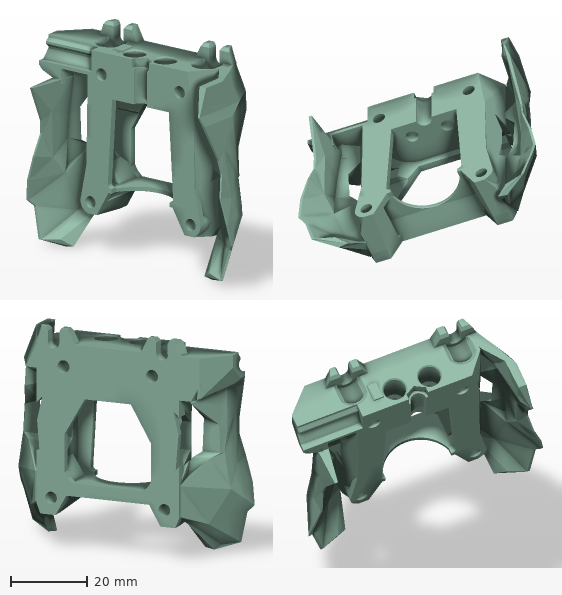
import cadquery as cq
import math


front_y = -14.65
deck_z = 55.6
plate_thickness = 1.9
foot_z = 8.95
wall_x = 20.5
wall_bend_y = -8.2
leg_x = 17.25
window_top_z = 43.25
window_floor_z = 18.4
window_corner_r = 1.0
bar_top_z = 18.0
bar_back_z = 14.5
crotch_x, crotch_z = 10.4, 17.1
leg_toe_x = 15.05
leg_side_x = 19.35
bevel_z = 42.6
cavity_x = 14.1
cavity_corner = 8.4
screw_d = 3.4
screw_x, screw_z = 12.7, 49.45
ankle_d = 3.3
ankle_x, ankle_z, ankle_r = 16.25, 13.5, 3.2
bolt_x, bolt_y = 5.0, -10.35
bolt_bore_d = 6.0
bolt_bore_depth = 8.05
bolt_chamfer = 0.35
hook_x = 15.6
hook_y = -3.1
hook_top_z = 59.7
hook_slot_d = 3.3
trough_d = 5.8
trough_end_y = -8.1
trough_rim = 0.95
block_x = -32.9
rail_inner_x = -15.9
block_floor_z = 48.55
shoulder_z = 43.2
reach = 80.6


def prism_y(points, y_near, y_far):
    """Extrude an (x, z) outline from y_near forward to y_far."""
    outline = cq.Workplane("XZ", origin=(0, y_near, 0)).polyline(points).close()
    return outline.extrude(y_near - y_far)


def prism_z(points, z_low, z_high):
    """Extrude an (x, y) outline upward."""
    return cq.Workplane("XY", origin=(0, 0, z_low)).polyline(points).close().extrude(z_high - z_low)


def prism_x(points, x_low, x_high):
    """Extrude a (y, z) outline toward +X."""
    return cq.Workplane("YZ", origin=(x_low, 0, 0)).polyline(points).close().extrude(x_high - x_low)


def cylinder_y(diameter, x, z, y_near, y_far):
    circle = cq.Workplane("XZ", origin=(x, y_near, z)).circle(diameter / 2)
    return circle.extrude(y_near - y_far)


def mirrored(points):
    """Complete a half outline with its reflection across X = 0."""
    return points + [(-x, other) for x, other in reversed(points)]


def both_sides(shape):
    return shape.union(shape.mirror("YZ"))


def polyhedron(triangles):
    faces = []
    for corners in triangles:
        wire = cq.Wire.makePolygon([cq.Vector(*corner) for corner in corners], close=True)
        faces.append(cq.Face.makeFromWires(wire))
    return cq.Workplane(obj=cq.Solid.makeSolid(cq.Shell.makeShell(faces)))


def body():
    plan = mirrored([(wall_x, 0), (wall_x, wall_bend_y), (leg_x, front_y)])
    side = [(0, foot_z), (0, deck_z), (front_y, deck_z), (front_y, ankle_z - ankle_r), (-3.2, foot_z)]
    block = prism_z(plan, 0, deck_z).intersect(prism_x(side, -reach, reach))
    feet_trim = mirrored([(leg_side_x, 0), (leg_side_x, foot_z), (wall_x + 0.7, 13.45), (wall_x + 0.7, deck_z)])
    block = block.intersect(prism_y(feet_trim, 0, front_y))
    plate = mirrored([(leg_x, deck_z), (leg_x, bevel_z), (17.6, 23.5), (leg_side_x, 14.45), (ankle_x, ankle_z)])
    block = block.union(prism_y(plate, front_y + plate_thickness, front_y))
    ankle = cylinder_y(2 * ankle_r, ankle_x, ankle_z, 0, front_y)
    block = block.union(both_sides(ankle))
    under_legs = mirrored([(leg_side_x + 0.7, 0), (leg_side_x + 0.7, foot_z), (leg_toe_x, foot_z),
                           (crotch_x, crotch_z)])
    return block.cut(prism_y(under_legs, 0, front_y))


def bottom_bar():
    """Sloping cross bar between the legs, hollowed forward in a plan arc."""
    bar_front_y = -13.45
    profile = [(0, bar_back_z), (0, bar_top_z), (bar_front_y, bar_top_z), (bar_front_y, crotch_z), (-6.05, 16.8)]
    bar = prism_x(profile, -cavity_x, cavity_x)
    gusset_x = cavity_x + 0.35
    gusset = prism_y([(crotch_x, 17.45), (gusset_x, 24.2), (gusset_x, 17.45)], 0, -9.3)
    return bar.union(both_sides(gusset))


def bar_arc():
    """Forward-facing hollow that leaves the cross bar arched in plan."""
    arc_x = 9.4
    arc_end_y = -12.75
    arc_middle_y = -6.05
    arc_low_z = 13.45
    clear_y = front_y - 0.7
    arc = cq.Workplane("XY", origin=(0, 0, arc_low_z)).moveTo(-arc_x, clear_y).lineTo(-arc_x, arc_end_y)
    arc = arc.threePointArc((0, arc_middle_y), (arc_x, arc_end_y)).lineTo(arc_x, clear_y).close()
    return arc.extrude(window_floor_z + 0.7 - arc_low_z)


def window():
    """Tapered front window, the hollow behind it and the wider opening in the back."""
    hollow_floor_z = 14.1
    hollow_y = front_y + plate_thickness
    opening = mirrored([(9.2, window_top_z), (10.7, window_floor_z)])
    front = prism_y(opening, hollow_y, front_y).edges("|Y and <Z").fillet(window_corner_r)
    rear = mirrored([(6.6, 41.2), (12.4, 31.1), (12.4, 20.15), (10.1, bar_top_z)])
    cavity_plan = [(-cavity_x, hollow_y), (cavity_x, hollow_y), (cavity_x, -plate_thickness),
                   (-cavity_x, -plate_thickness)]
    cavity = prism_z(cavity_plan, hollow_floor_z, window_top_z).edges("|Z and >Y").fillet(cavity_corner)
    lower = prism_y(mirrored([(cavity_x, 35.6), (cavity_x, hollow_floor_z)]), -plate_thickness, hollow_y)
    return front.union(cavity).union(lower).union(prism_y(rear, 0, hollow_y))


def side_openings():
    """Openings across the body between the front legs and the back frame."""
    outline = [(-1.9, 35.8), (-2.4, 36.4), (-3.9, 36.95), (-3.9, 40.3), (-9.3, 35.7), (-9.3, 28.0),
               (-7.6, 26.9), (-1.9, 21.7)]
    return prism_x(outline, -wall_x - 0.7, wall_x + 0.7)


def back_slots():
    """Openings through the back beside each leg."""
    outline = [(18.8, 40.65), (22.15, 37.3), (24.2, 36.95), (24.2, 26.9), (21.0, 26.6), (19.5, 24.6), (20.3, 34.25)]
    return both_sides(prism_y(outline, 0, front_y))


def right_wall_bevel():
    """Cut leaning the right side of the front plate inward toward the deck."""
    deck_edge_x = 15.3
    clear_x = wall_x + 0.1

    def section(x_front, z):
        return [(x_front, front_y, z), (clear_x, wall_bend_y, z), (clear_x, front_y, z)]

    low = section(leg_x, bevel_z)
    high = section(deck_edge_x, deck_z)
    sides = []
    for i in range(3):
        j = (i + 1) % 3
        sides += [(low[i], low[j], high[j]), (low[i], high[j], high[i])]
    return polyhedron([low, high] + sides)


def rail_block():
    plan = [(-13.45, 0), (-26.3, 0), (block_x, -6.85), (block_x, front_y), (-13.45, front_y)]
    front = [(-13.45, deck_z), (block_x, deck_z), (block_x, 48.2), (-31.9, 47.1), (-25.5, 44.25),
             (-26.0, block_floor_z), (-13.45, block_floor_z)]
    block = prism_z(plan, shoulder_z, deck_z).intersect(prism_y(front, 0, front_y))
    backing_z = shoulder_z + 0.5
    backing_top = [(-19.5, 0), (-26.5, 0), (-29.2, -8.7), (-24.85, -10.75), (-20.15, wall_bend_y)]
    backing_bottom = [(-19.5, 0), (-23.85, 0), (-26.9, -8.7), (-24.85, -10.1), (-20.15, wall_bend_y)]
    backing = cq.Workplane("XY", origin=(0, 0, backing_z)).polyline(backing_bottom).close()
    backing = backing.workplane(offset=block_floor_z - backing_z).polyline(backing_top).close()
    backing = backing.loft(ruled=True)
    corner = cq.Plane(origin=(block_x, -6.9, 52.1), xDir=(0, -6.4, -5.4), normal=(-6.7, 2.7, -3.3))
    block = block.cut(cq.Workplane(corner).rect(reach, reach).extrude(13.45))
    return block.union(backing)


def rail_cut():
    rail_foot_z = 49.5
    profile = [(-10.55, deck_z), (-10.6, 54.9), (-11.6, 54.0), (-11.6, 53.3), (-10.6, 52.4), (-10.6, 51.8),
               (-12.8, rail_foot_z), (front_y, rail_foot_z), (front_y, deck_z)]
    return prism_x(profile, block_x, rail_inner_x)


wing_nodes = {
    "shoulder back": ((23.85, 0, shoulder_z), (19.5, -8.05, shoulder_z)),
    "shoulder": ((28.6, -12.55, 45.55), (25.0, -10.1, 45.55)),
    "blade tip": ((28.4, -25.0, 45.55), (27.55, -25.0, 45.55)),
    "gap top": ((27.9, -9.3, 35.7), (23.5, -9.3, 37.1)),
    "gap bottom": ((28.2, -9.3, 28.0), (23.1, -9.3, 28.0)),
    "gap foot": ((26.2, -7.6, 26.9), (21.0, -7.6, 26.6)),
    "back high": ((20.8, 0, 20.4), (18.15, -5.4, 20.4)),
    "back low": ((20.8, 0, 12.1), (18.15, -4.7, 13.45)),
    "heel": ((19.95, -3.75, 10.4), (19.35, -7.4, 8.9)),
    "keel": ((25.5, -7.85, 8.8), (23.7, -10.1, 8.7)),
    "keel end": ((25.5, -16.3, 1.35), (24.2, -17.1, 2.35)),
    "toe": ((23.85, -15.3, 0), (21.2, -15.3, 0.5)),
    "toe front": ((29.95, -19.0, 1.8), (29.15, -19.0, 1.8)),
    "notch": ((32.1, -18.1, 10.4), (31.45, -18.1, 10.4)),
    "elbow": ((33.6, -19.5, 12.15), (32.9, -19.5, 12.15)),
    "flap low": ((32.65, -20.4, 18.1), (32.0, -20.4, 18.1)),
    "flap high": ((30.55, -20.7, 25.05), (30.1, -20.7, 25.05)),
    "waist": ((29.55, -18.8, 31.2), (29.0, -18.8, 31.2)),
    "waist high": ((29.15, -19.5, 35.0), (28.5, -19.5, 35.0)),
    "crest": ((29.15, -17.25, 37.2), (26.9, -17.25, 37.2)),
    "flap root": ((30.2, -15.45, 23.9), (27.8, -15.45, 23.9)),
    "dimple": ((29.15, -11.95, 34.2), (26.3, -10.1, 34.9)),
    "dimple low": ((28.9, -10.55, 28.0), (26.9, -10.1, 28.0)),
    "hip high": ((29.9, -10.5, 20.6), (26.9, -10.1, 20.8)),
    "hip": ((30.55, -11.1, 18.1), (26.3, -12.1, 18.95)),
}
wing_facets = [
    ("shoulder back", "shoulder", "gap top"), ("shoulder", "dimple", "gap top"),
    ("shoulder", "crest", "dimple"), ("shoulder", "blade tip", "crest"),
    ("blade tip", "waist high", "crest"), ("dimple", "gap bottom", "gap top"),
    ("dimple", "dimple low", "gap bottom"), ("dimple", "crest", "dimple low"),
    ("crest", "flap root", "dimple low"), ("crest", "waist high", "waist"),
    ("crest", "waist", "flap root"), ("waist", "flap high", "flap root"),
    ("flap high", "flap low", "flap root"), ("flap root", "flap low", "hip"),
    ("dimple low", "flap root", "hip"), ("dimple low", "hip", "hip high"),
    ("gap bottom", "dimple low", "gap foot"), ("gap foot", "dimple low", "hip high"),
    ("gap foot", "hip high", "hip"), ("back high", "gap foot", "hip"),
    ("back high", "hip", "keel"), ("back high", "keel", "back low"),
    ("hip", "flap low", "elbow"), ("hip", "elbow", "notch"), ("hip", "notch", "keel"),
    ("keel", "notch", "toe front"), ("keel", "toe front", "keel end"),
    ("back low", "keel", "heel"), ("heel", "keel", "keel end"),
    ("heel", "keel end", "toe"), ("keel end", "toe front", "toe"),
]
upper_nodes = {
    "deck back": ((20.15, 0, deck_z), (17.45, 0, deck_z)),
    "deck bend": ((24.2, wall_bend_y, deck_z), (20.8, wall_bend_y, deck_z)),
    "deck front": ((27.55, -15.9, deck_z), (25.0, -14.1, deck_z)),
    "blade top": ((27.35, -22.85, deck_z), (25.1, -22.85, deck_z)),
    "side back": ((23.5, 0, 48.35), (18.8, 0, 48.35)),
    "side": ((28.0, -8.95, 48.35), (23.65, -9.75, 48.35)),
    "blade step": ((27.55, -21.95, 50.6), (25.2, -21.95, 50.6)),
    "blade root": ((27.7, -23.1, 48.4), (25.3, -23.1, 48.4)),
    "blade point": ((27.7, -26.25, 48.2), (27.2, -26.25, 48.2)),
}
upper_facets = [
    ("deck back", "deck bend", "side back"), ("deck bend", "side", "side back"),
    ("deck bend", "deck front", "side"), ("deck front", "blade top", "blade step"),
    ("deck front", "blade step", "side"), ("blade step", "blade root", "side"),
    ("blade top", "blade point", "blade step"), ("blade step", "blade point", "blade root"),
    ("blade root", "blade point", "blade tip"), ("blade root", "blade tip", "shoulder"),
    ("side", "blade root", "shoulder"), ("side back", "side", "shoulder"),
    ("side back", "shoulder", "shoulder back"),
]


def wing(nodes, facets, side):
    """Close the outer and inner facets into a shell; side is -1 left, +1 right."""
    outer = {name: (side * x, y, z) for name, ((x, y, z), _) in nodes.items()}
    inner = {name: (side * x, y, z) for name, (_, (x, y, z)) in nodes.items()}
    triangles = []
    edge_uses = {}
    for facet in facets:
        triangles.append([outer[name] for name in facet])
        triangles.append([inner[name] for name in facet])
        for i in range(3):
            edge = tuple(sorted((facet[i], facet[i - 1]), reverse=True))
            edge_uses[edge] = edge_uses.get(edge, 0) + 1
    for (a, b), uses in edge_uses.items():
        if uses == 1:
            triangles.append([outer[a], outer[b], inner[b]])
            triangles.append([outer[a], inner[b], inner[a]])
    return polyhedron(triangles)


def hook_tabs():
    """Paired tabs standing on the deck; the outer flanks lean inward toward the back."""
    flank_lean = 1.3
    bevel = 0.8
    base_z = deck_z - 1.35
    tip_z = 58.7

    def outer_tab(lean):
        return [(17.2, base_z), (21.6 - lean, base_z), (21.6 - lean, deck_z), (20.55 - lean, tip_z),
                (20.3 - lean, hook_top_z), (17.7, hook_top_z), (17.2, tip_z)]

    inner_tab = [(13.9, base_z), (9.5, base_z), (9.5, deck_z), (11.1, tip_z), (11.55, hook_top_z),
                 (13.4, hook_top_z), (13.9, tip_z)]
    leaning = cq.Workplane("XZ").polyline(outer_tab(flank_lean)).close()
    leaning = leaning.workplane(offset=-hook_y).polyline(outer_tab(0)).close().loft(ruled=True)
    tabs = leaning.union(prism_y(inner_tab, 0, hook_y))
    return both_sides(tabs.edges("|X and >Z and <Y").chamfer(bevel))


def hook_trough():
    """Round slot between the tabs, widening into a bevelled trough with a domed end."""
    slot = cylinder_y(hook_slot_d, hook_x, deck_z, 0.7, hook_y - 0.7)
    radius = trough_d / 2
    dome_depth = 1.4
    flank = math.sqrt(0.5)
    dome_bulge = (radius * flank, trough_end_y - dome_depth * flank)
    trough = cq.Workplane("XY").moveTo(0, hook_y).lineTo(radius, hook_y).lineTo(radius, trough_end_y)
    trough = trough.threePointArc(dome_bulge, (0, trough_end_y - dome_depth)).close()
    trough = trough.revolve(360, (0, 0), (0, 1)).translate((hook_x, 0, deck_z))
    rim_half = trough_d / 2 + trough_rim
    rim = cq.Workplane("XY", origin=(0, 0, deck_z)).moveTo(hook_x - rim_half, hook_y)
    rim = rim.lineTo(hook_x - rim_half, trough_end_y)
    rim = rim.threePointArc((hook_x, -10.75), (hook_x + rim_half, trough_end_y))
    rim = rim.lineTo(hook_x + rim_half, hook_y).close().extrude(-trough_rim, taper=45)
    return both_sides(trough.union(rim).union(slot))


def bolt_holes():
    """Bevelled counterbores over bolt holes through the deck."""
    centres = [(-bolt_x, bolt_y), (bolt_x, bolt_y)]
    top = cq.Workplane("XY", origin=(0, 0, deck_z)).pushPoints(centres)
    through = top.circle(screw_d / 2).extrude(-reach)
    bore = top.circle(bolt_bore_d / 2).extrude(-bolt_bore_depth)
    rim = top.circle(bolt_bore_d / 2 + bolt_chamfer).extrude(-bolt_chamfer, taper=45)
    return through.union(bore).union(rim)


def centre_groove():
    """Half-round upright groove in the front face under a hexagonal nut seat."""
    top = cq.Workplane("XY", origin=(0, front_y, deck_z))
    nut_flats = 5.5
    groove_r = 2.15
    nut_depth = 2.5
    groove = top.circle(groove_r).extrude(window_top_z - deck_z)
    nut = top.transformed(rotate=(0, 0, 30)).polygon(6, nut_flats / math.cos(math.pi / 6))
    return groove.union(nut.extrude(-nut_depth))


def screw_holes():
    upper = cylinder_y(screw_d, screw_x, screw_z, 0, front_y)
    lower = cylinder_y(ankle_d, ankle_x, ankle_z, 0, front_y)
    return both_sides(upper.union(lower))


def deck_key():
    key = prism_z([(-11.4, -6.5), (-8.45, -6.5), (-8.45, -11.5), (-11.4, -11.5)], deck_z - 0.7, deck_z + 0.55)
    return key.edges(">Z and (>Y or <X or >X)").chamfer(0.3)


frame = body().cut(window()).union(bottom_bar()).cut(bar_arc())
frame = frame.cut(side_openings()).cut(back_slots()).cut(right_wall_bevel())
frame = frame.union(rail_block()).cut(rail_cut())
frame = frame.union(hook_tabs()).union(deck_key())
frame = frame.cut(hook_trough()).cut(bolt_holes()).cut(centre_groove()).cut(screw_holes())
left_wing = wing(wing_nodes, wing_facets, -1)
right_wing = wing({**wing_nodes, **upper_nodes}, wing_facets + upper_facets, 1)
result = frame.union(left_wing).union(right_wing)